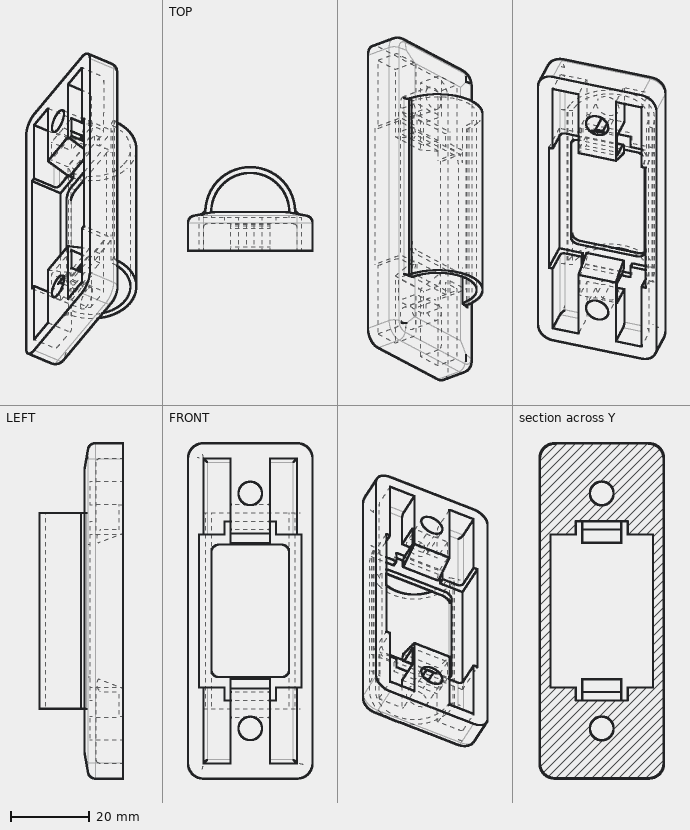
import cadquery as cq
import math

PLATE_WIDTH = 32.0
PLATE_LENGTH = 86
OVERALL_DEPTH = 21.5
PLATE_THICKNESS = 10.0
CORNER_RADIUS = 4.0
CROWN_RISE = 1.2
CROWN_ANGLE = 10
BACK_EDGE_RADIUS = 2.0

TUBE_INNER_RADIUS = 10.0
TUBE_OUTER_RADIUS = OVERALL_DEPTH - PLATE_THICKNESS
TUBE_LENGTH = 50.2
TUBE_FOOT_RADIUS = 1.5

POCKET_WIDTH = 24.0
POCKET_LENGTH = 78.1
POCKET_DEPTH = 7.0
POCKET_FLOOR_RADIUS = 1.0
RECESS_WIDTH = 26.15
RECESS_LENGTH = 39.1
RECESS_DEPTH = 8.5
NOTCH_WIDTH = 13.25
NOTCH_LENGTH = 45.8

WINDOW_WIDTH = 2 * TUBE_INNER_RADIUS
WINDOW_LENGTH = 34.0
WINDOW_CORNER_RADIUS = 2.0

POST_WIDTH = 10.1
POST_END = 27.3
TONGUE_THICKNESS = 1.0
HOOK_FRONT = 19.9
HOOK_TIP = 17.5
HOOK_HEEL = 20.8
HOOK_TIP_DEPTH = 6.4
HOOK_HEEL_DEPTH = 5.8
HOOK_NOSE_DEPTH = 6.7
HOLE_DIAMETER = 6
HOLE_OFFSET = 30.1
HOLE_DEPTH = RECESS_DEPTH


def slab(width, length, y_start, y_end):
    """Box centred on X and Z between two Y levels."""
    return cq.Workplane("XY").box(width, y_end - y_start, length).translate((0, (y_start + y_end) / 2, 0))


def make_plate():
    """Rounded plate whose back rises to a low flat-topped crown, with a rounded back edge."""
    edge_height = PLATE_THICKNESS - CROWN_RISE
    body = slab(PLATE_WIDTH, PLATE_LENGTH, 0, edge_height).edges("|Y").fillet(CORNER_RADIUS)
    crown = (
        body.faces(">Y").wires().toPending().workplane()
        .extrude(CROWN_RISE, taper=90 - CROWN_ANGLE, combine=False)
    )
    tolerance = 0.01
    back_edge = cq.selectors.BoxSelector(
        (-PLATE_WIDTH, edge_height - tolerance, -PLATE_LENGTH),
        (PLATE_WIDTH, edge_height + tolerance, PLATE_LENGTH),
        boundingbox=True,
    )
    return body.union(crown).edges(back_edge).fillet(BACK_EDGE_RADIUS)


def make_tube_foot(side):
    """Concave foot that blends one side of the tube (side = -1 or 1) into the sloped crown."""
    slope = math.radians(CROWN_ANGLE)
    crown_edge = PLATE_WIDTH / 2 - CROWN_RISE / math.tan(slope)
    center_x = TUBE_OUTER_RADIUS + TUBE_FOOT_RADIUS
    slope_y = PLATE_THICKNESS - (center_x - crown_edge) * math.tan(slope)
    center_y = slope_y + TUBE_FOOT_RADIUS / math.cos(slope)

    def arc_point(angle):
        return (
            side * (center_x + TUBE_FOOT_RADIUS * math.cos(angle)),
            center_y + TUBE_FOOT_RADIUS * math.sin(angle),
        )

    start_angle = math.pi
    end_angle = 1.5 * math.pi - slope
    end = arc_point(end_angle)
    return (
        cq.Workplane("XY", origin=(0, 0, -TUBE_LENGTH / 2))
        .moveTo(*arc_point(start_angle))
        .threePointArc(arc_point((start_angle + end_angle) / 2), end)
        .lineTo(end[0], RECESS_DEPTH)
        .lineTo(side * TUBE_INNER_RADIUS, RECESS_DEPTH)
        .lineTo(side * TUBE_INNER_RADIUS, PLATE_THICKNESS)
        .lineTo(side * TUBE_OUTER_RADIUS, PLATE_THICKNESS)
        .close()
        .extrude(TUBE_LENGTH)
    )


def make_tube():
    """Half ring on the crown, with its axis along Z at the level of the crown's flat top."""
    ring = (
        cq.Workplane("XY", origin=(0, PLATE_THICKNESS, -TUBE_LENGTH / 2))
        .circle(TUBE_OUTER_RADIUS).circle(TUBE_INNER_RADIUS)
        .extrude(TUBE_LENGTH)
    )
    back_half = slab(PLATE_WIDTH, PLATE_LENGTH, PLATE_THICKNESS, PLATE_THICKNESS + TUBE_OUTER_RADIUS)
    return ring.intersect(back_half).union(make_tube_foot(-1)).union(make_tube_foot(1))


def make_cavity():
    """Space open to the front face: pocket, recess, notches and the window into the tube."""
    pocket = slab(POCKET_WIDTH, POCKET_LENGTH, 0, POCKET_DEPTH)
    pocket = pocket.faces(">Y").edges().fillet(POCKET_FLOOR_RADIUS)
    recess = slab(RECESS_WIDTH, RECESS_LENGTH, 0, RECESS_DEPTH)
    notches = slab(NOTCH_WIDTH, NOTCH_LENGTH, 0, RECESS_DEPTH)
    window = slab(WINDOW_WIDTH, WINDOW_LENGTH, 0, PLATE_THICKNESS)
    window = window.edges("|Y").fillet(WINDOW_CORNER_RADIUS)
    return pocket.union(recess).union(notches).union(window)


def make_post():
    """Post at the +Z end of the pocket, with its hooked tongue."""
    pocket_end = POCKET_LENGTH / 2
    profile = (
        cq.Workplane("YZ", origin=(-POST_WIDTH / 2, 0, 0))
        .moveTo(0, pocket_end)
        .lineTo(0, HOOK_FRONT)
        .lineTo(HOOK_TIP_DEPTH, HOOK_TIP)
        .threePointArc((HOOK_NOSE_DEPTH, (HOOK_TIP + HOOK_HEEL) / 2), (HOOK_HEEL_DEPTH, HOOK_HEEL))
        .lineTo(TONGUE_THICKNESS, HOOK_HEEL)
        .lineTo(TONGUE_THICKNESS, POST_END)
        .lineTo(POCKET_DEPTH, POST_END)
        .lineTo(POCKET_DEPTH, pocket_end)
        .close()
    )
    return profile.extrude(POST_WIDTH)


def make_hole():
    """Blind hole from the front into the +Z post."""
    return cq.Workplane("XZ").center(0, HOLE_OFFSET).circle(HOLE_DIAMETER / 2).extrude(-HOLE_DEPTH)


def both_ends(shape):
    """The shape together with its mirror image at the -Z end."""
    return shape.union(shape.mirror("XY"))


result = (
    make_plate()
    .union(make_tube())
    .cut(make_cavity())
    .union(both_ends(make_post()))
    .cut(both_ends(make_hole()))
)